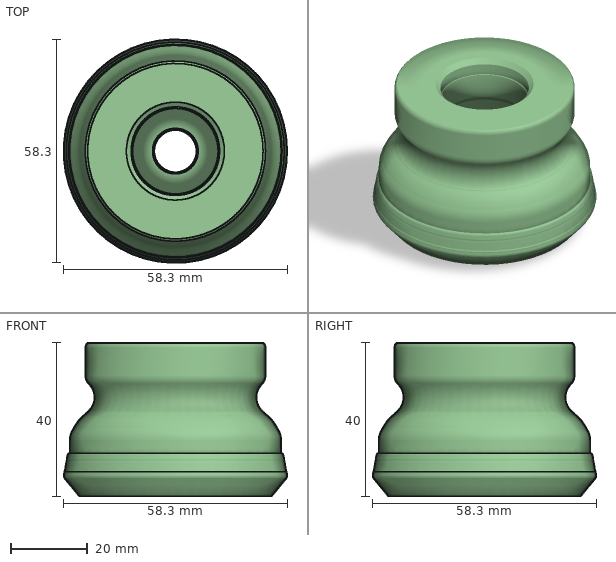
import cadquery as cq
import math

total_height = 40.0
joint_height = 11.25

head_radius = 23.5
head_crown_drop = 1.2
head_crown_inset = 0.65
head_bottom_height = 31.5
underside_radius = 3.05
neck_arc_radius = 5.0
neck_angle = 45.0
shoulder_angle = 54.0
skirt_radius = 27.55
skirt_top_height = 14.6
skirt_arc_radius = 5.0
cone_angle = 30.0
cone_height = 1.3
shoulder_arc_radius = 10.0

mouth_radius = 12.75
entry_radius = 11.55
entry_depth = 4.2
waist_radius = 11.15
flare_start_depth = 10.95
flare_end_depth = 12.05
lower_bore_radius = entry_radius
bore_depth = 20.0
floor_radius = 10.8
floor_rim_rise = 0.1
hole_radius = 5.5
hole_chamfer_width = 0.45
hole_chamfer_depth = 0.25

rim_radius = 27.8
top_round_radius = 28.15
top_round_height = 10.7
upper_band_radius = 28.4
upper_band_top = 9.75
upper_band_bottom = 9.4
taper_top_radius = 28.5
taper_top_height = 8.85
taper_bottom_height = 6.7
taper_bottom_radius = 28.85
lower_band_height = 6.2
lower_band_step = 0.2
lower_band_radius = 29.0
ring_radius = 29.15
ring_edge_height = 5.4
round_bottom_radius = 28.9
round_bottom_height = 4.7
foot_edge_radius = 25.3
foot_edge_height = 0.35
foot_radius = 25.0


def arc_point(center, radius, angle):
    """Point on a circle in the (radius, height) plane, angle in degrees from horizontal."""
    turn = math.radians(angle)
    return (center[0] + radius * math.cos(turn), center[1] + radius * math.sin(turn))


def turn_profile(profile):
    """Revolve a closed (radius, height) outline about the Z axis."""
    return profile.close().revolve(360, (0, 0, 0), (0, 1, 0))


def make_knob_blank():
    underside_center = (head_radius - underside_radius, head_bottom_height)
    neck_center = arc_point(underside_center, underside_radius + neck_arc_radius, -neck_angle)
    skirt_center = (skirt_radius - skirt_arc_radius, skirt_top_height)
    cone_bottom = arc_point(skirt_center, skirt_arc_radius, cone_angle)
    cone_top = (
        cone_bottom[0] - cone_height * math.tan(math.radians(cone_angle)),
        cone_bottom[1] + cone_height,
    )
    shoulder_center = arc_point(cone_top, shoulder_arc_radius, 180 + cone_angle)

    neck_top = arc_point(neck_center, neck_arc_radius, 180 - neck_angle)
    neck_waist = arc_point(neck_center, neck_arc_radius, 180)
    neck_bottom = arc_point(neck_center, neck_arc_radius, 180 + shoulder_angle)
    shoulder_top = arc_point(shoulder_center, shoulder_arc_radius, shoulder_angle)
    shoulder_middle = arc_point(shoulder_center, shoulder_arc_radius, (shoulder_angle + cone_angle) / 2)

    profile = (
        cq.Workplane("XZ")
        .moveTo(0, joint_height)
        .lineTo(skirt_radius, joint_height)
        .lineTo(skirt_radius, skirt_top_height)
        .threePointArc(arc_point(skirt_center, skirt_arc_radius, cone_angle / 2), cone_bottom)
        .lineTo(*cone_top)
        .threePointArc(shoulder_middle, shoulder_top)
        .lineTo(*neck_bottom)
        .threePointArc(neck_waist, neck_top)
        .threePointArc(
            arc_point(underside_center, underside_radius, -neck_angle / 2),
            (head_radius, head_bottom_height),
        )
        .lineTo(head_radius, total_height - head_crown_drop)
        .tangentArcPoint((head_radius - head_crown_inset, total_height), relative=False)
        .lineTo(0, total_height)
    )
    return turn_profile(profile)


def make_knob_cavity():
    floor_height = total_height - bore_depth
    profile = (
        cq.Workplane("XZ")
        .moveTo(0, total_height)
        .lineTo(mouth_radius, total_height)
        .lineTo(entry_radius, total_height - (mouth_radius - entry_radius))
        .lineTo(entry_radius, total_height - entry_depth)
        .lineTo(waist_radius, total_height - entry_depth)
        .lineTo(waist_radius, total_height - flare_start_depth)
        .lineTo(lower_bore_radius, total_height - flare_end_depth)
        .lineTo(lower_bore_radius, floor_height + floor_rim_rise)
        .lineTo(floor_radius, floor_height)
        .lineTo(hole_radius + hole_chamfer_width, floor_height)
        .lineTo(hole_radius, floor_height - hole_chamfer_depth)
        .lineTo(hole_radius, joint_height)
        .lineTo(0, joint_height)
    )
    return turn_profile(profile)


def make_base_ring():
    round_width = ring_radius - round_bottom_radius
    round_drop = ring_edge_height - round_bottom_height
    round_arc_radius = (round_width**2 + round_drop**2) / (2 * round_width)
    round_center = (ring_radius - round_arc_radius, ring_edge_height)
    round_sweep = math.degrees(math.asin(round_drop / round_arc_radius))
    lower_round_middle = arc_point(round_center, round_arc_radius, -round_sweep / 2)

    profile = (
        cq.Workplane("XZ")
        .moveTo(hole_radius, 0)
        .lineTo(foot_radius, 0)
        .lineTo(foot_edge_radius, foot_edge_height)
        .lineTo(round_bottom_radius, round_bottom_height)
        .threePointArc(lower_round_middle, (ring_radius, ring_edge_height))
        .lineTo(lower_band_radius, lower_band_height)
        .lineTo(lower_band_radius, lower_band_height + lower_band_step)
        .lineTo(taper_bottom_radius, taper_bottom_height)
        .lineTo(taper_top_radius, taper_top_height)
        .lineTo(upper_band_radius, upper_band_bottom)
        .lineTo(upper_band_radius, upper_band_top)
        .lineTo(top_round_radius, top_round_height)
        .tangentArcPoint((rim_radius, joint_height), relative=False)
        .lineTo(hole_radius, joint_height)
    )
    return turn_profile(profile)


knob = make_knob_blank().cut(make_knob_cavity())
base_ring = make_base_ring()

result = cq.Compound.makeCompound([knob.val(), base_ring.val()])